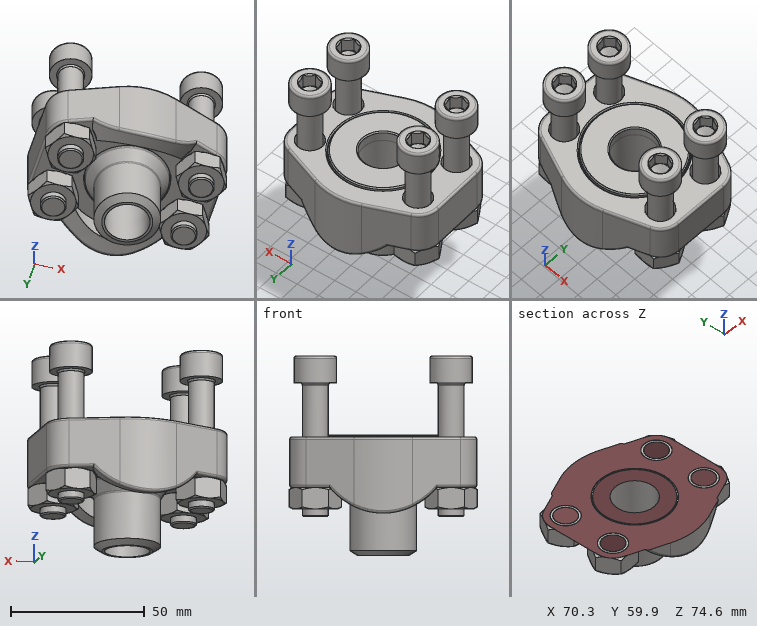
import cadquery as cq
import math

BOLT_SPACING_X = 50.7
BOLT_SPACING_Y = 23.8
BOLT_PLACES = [
    (side_x * BOLT_SPACING_X / 2, side_y * BOLT_SPACING_Y / 2)
    for side_x in (-1, 1)
    for side_y in (-1, 1)
]

FLANGE_BOTTOM = 25.45
FLANGE_TOP = 44.4
FLANGE_WIDTH = 70.0
FLANGE_LENGTH = 59.9
FLANGE_END_RADIUS = FLANGE_LENGTH / 2
FLANGE_CORNER_RADIUS = (FLANGE_WIDTH - BOLT_SPACING_X) / 2
FLANGE_EDGE_ROUND = 1.0
BOLT_HOLE_DIAMETER = 11.6

BULGE_RADIUS_AT_END = 28.7
BULGE_SLOPE = 10.0

POCKET_DIAMETER = 45.95
RECESS_DIAMETER = 42.0
RECESS_CHAMFER = 0.5
NECK_HOLE_DIAMETER = 32.5

INSERT_TOP = 45.0
COLLAR_DIAMETER = 41.3
COLLAR_HEIGHT = 10.0
COLLAR_CHAMFER = 0.5
NECK_DIAMETER = 31.6
NECK_BOTTOM = 25.15
PIPE_DIAMETER = 25.0
PIPE_TOP = 20.15
PIPE_END_DIAMETER = 19.0
PIPE_END_CHAMFER = 1.9
CONE_BLEND = 1.0
BORE_TOP_DIAMETER = 19.0
BORE_TOP_DEPTH = 4.5
BORE_BOTTOM_DIAMETER = 17.0
BORE_CHAMFER = 0.5

BOLT_TOP = 74.6
HEAD_DIAMETER = 16.0
HEAD_HEIGHT = 10.1
HEAD_ROUND = 1.0
UNDERHEAD_DIAMETER = 10.5
UNDERHEAD_HEIGHT = 0.8
SHANK_DIAMETER = 9.7
SHANK_LENGTH = 50.0
TIP_CHAMFER = 0.5
SOCKET_WIDTH = 8.0
SOCKET_DEPTH = 6.0
SOCKET_TURN = 40.0
SOCKET_MOUTH_DIAMETER = 9.3
DRILL_POINT_ANGLE = 118.0

NUT_WIDTH = 17.0
NUT_HEIGHT = 8.0
NUT_CHAMFER_ANGLE = 30.0

CLEARANCE = 0.75

HEXAGON_CORNER_RATIO = 1 / math.cos(math.radians(30))


def cylinder(diameter, bottom, top):
    return cq.Workplane("XY").workplane(offset=bottom).circle(diameter / 2).extrude(top - bottom)


def flange_prism(bottom):
    """Rounded hexagon from `bottom` up to the flange top, its corners centred on the bolts."""
    corner_x, corner_y = BOLT_PLACES[-1]
    lean = math.atan2(corner_x, corner_y) - math.acos(
        (FLANGE_END_RADIUS - FLANGE_CORNER_RADIUS) / math.hypot(corner_x, corner_y)
    )
    side_x = FLANGE_WIDTH / 2
    tip_y = FLANGE_END_RADIUS / math.cos(lean)
    side_y = tip_y - side_x * math.tan(lean)
    outline = [
        (0, tip_y),
        (side_x, side_y),
        (side_x, -side_y),
        (0, -tip_y),
        (-side_x, -side_y),
        (-side_x, side_y),
    ]
    return (
        cq.Workplane("XY")
        .workplane(offset=bottom)
        .polyline(outline)
        .close()
        .extrude(FLANGE_TOP - bottom)
        .edges("|Z and (>Y or <Y)")
        .fillet(FLANGE_END_RADIUS)
        .edges("|Z and (>X or <X)")
        .fillet(FLANGE_CORNER_RADIUS)
    )


def bulge_cones():
    """Two cones back to back along Y, widest past the flange ends."""
    reach = FLANGE_END_RADIUS + CLEARANCE
    slope = math.tan(math.radians(BULGE_SLOPE))
    end_radius = BULGE_RADIUS_AT_END + slope * CLEARANCE
    waist_radius = BULGE_RADIUS_AT_END - slope * FLANGE_END_RADIUS
    return (
        cq.Workplane("XY")
        .moveTo(0, -reach)
        .lineTo(end_radius, -reach)
        .lineTo(waist_radius, 0)
        .lineTo(end_radius, reach)
        .lineTo(0, reach)
        .close()
        .revolve(360, (0, 0, 0), (0, 1, 0))
        .translate((0, 0, FLANGE_TOP))
    )


def make_flange():
    bulge_bottom = FLANGE_TOP - BULGE_RADIUS_AT_END - CLEARANCE
    flange = flange_prism(FLANGE_BOTTOM).union(flange_prism(bulge_bottom).intersect(bulge_cones()))
    flange = flange.faces("#Z").edges("not |Z").fillet(FLANGE_EDGE_ROUND)

    collar_bottom = INSERT_TOP - COLLAR_HEIGHT
    flange = (
        flange.cut(cylinder(POCKET_DIAMETER, bulge_bottom, FLANGE_BOTTOM))
        .cut(cylinder(NECK_HOLE_DIAMETER, FLANGE_BOTTOM, FLANGE_TOP))
        .cut(cylinder(RECESS_DIAMETER, collar_bottom, FLANGE_TOP))
    )
    mouth = cq.Workplane("XY", origin=(0, 0, FLANGE_TOP)).circle(RECESS_DIAMETER / 2 + RECESS_CHAMFER)
    flange = flange.cut(mouth.extrude(-RECESS_CHAMFER, taper=45))

    hole = cylinder(BOLT_HOLE_DIAMETER, FLANGE_BOTTOM, FLANGE_TOP)
    nut_seat = cylinder(NUT_WIDTH * HEXAGON_CORNER_RATIO, bulge_bottom, FLANGE_BOTTOM)
    for x, y in BOLT_PLACES:
        flange = flange.cut(hole.translate((x, y, 0))).cut(nut_seat.translate((x, y, 0)))
    return flange


def make_insert():
    """Collar, neck and conical shoulder above a bevelled pipe end, bored through."""
    collar_radius = COLLAR_DIAMETER / 2
    neck_radius = NECK_DIAMETER / 2
    pipe_radius = PIPE_DIAMETER / 2
    bore_top_radius = BORE_TOP_DIAMETER / 2
    collar_bottom = INSERT_TOP - COLLAR_HEIGHT
    profile = [
        (BORE_BOTTOM_DIAMETER / 2, 0),
        (PIPE_END_DIAMETER / 2, 0),
        (pipe_radius, PIPE_END_CHAMFER),
        (pipe_radius, PIPE_TOP),
        (neck_radius, NECK_BOTTOM),
        (neck_radius, collar_bottom),
        (collar_radius, collar_bottom),
        (collar_radius, INSERT_TOP - COLLAR_CHAMFER),
        (collar_radius - COLLAR_CHAMFER, INSERT_TOP),
        (bore_top_radius + BORE_CHAMFER, INSERT_TOP),
        (bore_top_radius, INSERT_TOP - BORE_CHAMFER),
        (bore_top_radius, INSERT_TOP - BORE_TOP_DEPTH),
    ]
    insert = cq.Workplane("XZ").polyline(profile).close().revolve(360, (0, 0, 0), (0, 1, 0))
    shoulder_edges = cq.selectors.BoxSelector(
        (-NECK_DIAMETER, -NECK_DIAMETER, PIPE_TOP - CLEARANCE),
        (NECK_DIAMETER, NECK_DIAMETER, NECK_BOTTOM + CLEARANCE),
    )
    return insert.edges(shoulder_edges).edges("%CIRCLE").fillet(CONE_BLEND)


def hexagon(width, bottom, top):
    """Hexagonal prism, `width` across flats, with two corners on the X axis."""
    return (
        cq.Workplane("XY")
        .workplane(offset=bottom)
        .polygon(6, width * HEXAGON_CORNER_RATIO)
        .extrude(top - bottom)
    )


def make_bolt():
    """Socket head bolt on the Z axis."""
    head_bottom = BOLT_TOP - HEAD_HEIGHT
    tip = head_bottom - SHANK_LENGTH
    shank_radius = SHANK_DIAMETER / 2
    profile = [
        (0, tip),
        (shank_radius - TIP_CHAMFER, tip),
        (shank_radius, tip + TIP_CHAMFER),
        (shank_radius, head_bottom - UNDERHEAD_HEIGHT),
        (UNDERHEAD_DIAMETER / 2, head_bottom),
        (HEAD_DIAMETER / 2, head_bottom),
        (HEAD_DIAMETER / 2, BOLT_TOP),
        (0, BOLT_TOP),
    ]
    bolt = cq.Workplane("XZ").polyline(profile).close().revolve(360, (0, 0, 0), (0, 1, 0))
    bolt = bolt.faces(">Z").edges().fillet(HEAD_ROUND)

    socket_bottom = BOLT_TOP - SOCKET_DEPTH
    socket = hexagon(SOCKET_WIDTH, socket_bottom, BOLT_TOP).rotate((0, 0, 0), (0, 0, 1), SOCKET_TURN)
    point_radius = SOCKET_WIDTH / 2
    point_depth = point_radius / math.tan(math.radians(DRILL_POINT_ANGLE / 2))
    point_tip = cq.Vector(0, 0, socket_bottom - point_depth)
    drill_point = cq.Solid.makeCone(0, point_radius, point_depth, pnt=point_tip)
    mouth_radius = SOCKET_MOUTH_DIAMETER / 2
    mouth_tip = cq.Vector(0, 0, BOLT_TOP - mouth_radius)
    mouth = cq.Solid.makeCone(0, mouth_radius, mouth_radius, pnt=mouth_tip)
    return bolt.cut(socket).cut(cq.Workplane(drill_point)).cut(cq.Workplane(mouth))


def make_nut():
    """Hexagon nut on the Z axis, hanging from the flange bottom, with both ends chamfered."""
    top = FLANGE_BOTTOM
    bottom = top - NUT_HEIGHT
    flat_radius = NUT_WIDTH / 2
    corner_radius = flat_radius * HEXAGON_CORNER_RATIO
    chamfer = (corner_radius - flat_radius) * math.tan(math.radians(NUT_CHAMFER_ANGLE))
    profile = [
        (SHANK_DIAMETER / 2, bottom),
        (flat_radius, bottom),
        (corner_radius, bottom + chamfer),
        (corner_radius, top - chamfer),
        (flat_radius, top),
        (SHANK_DIAMETER / 2, top),
    ]
    envelope = cq.Workplane("XZ").polyline(profile).close().revolve(360, (0, 0, 0), (0, 1, 0))
    return envelope.intersect(hexagon(NUT_WIDTH, bottom, top))


flange = make_flange()
insert = make_insert()
bolts = [make_bolt().translate((x, y, 0)) for x, y in BOLT_PLACES]
nuts = [make_nut().translate((x, y, 0)) for x, y in BOLT_PLACES]

result = cq.Compound.makeCompound(
    [
        flange.val(),
        insert.val(),
        *[bolt.val() for bolt in bolts],
        *[nut.val() for nut in nuts],
    ]
)